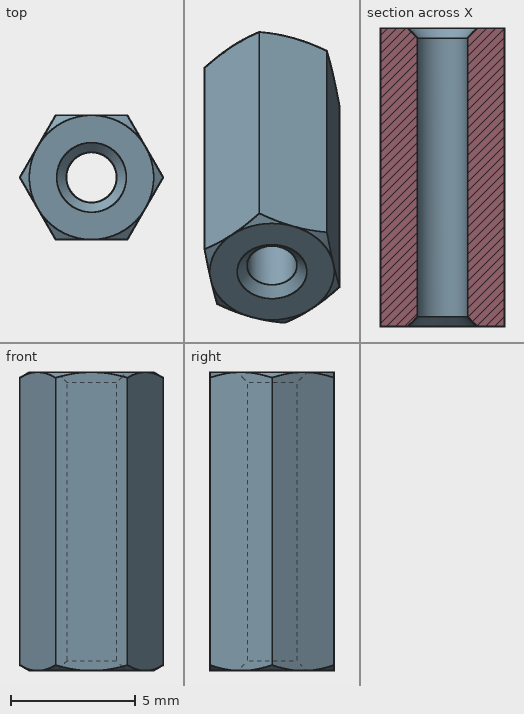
import cadquery as cq
import math

side_count = 6
across_flats = 5.0
length = 12.0
bore_diameter = 2.01
countersink_diameter = 2.8
countersink_half_angle = 45.0
corner_chamfer_angle = 30.0

flat_radius = across_flats / 2
corner_radius = flat_radius / math.cos(math.pi / side_count)
corner_drop = (corner_radius - flat_radius) * math.tan(math.radians(corner_chamfer_angle))
bore_radius = bore_diameter / 2
countersink_radius = countersink_diameter / 2
countersink_depth = (countersink_radius - bore_radius) / math.tan(math.radians(countersink_half_angle))


def turned_body(end_radius, middle_radius, cone_height):
    """Full-length body turned about Z: a cylinder with the same cone at each end."""
    profile = (
        cq.Workplane("XZ")
        .lineTo(end_radius, 0)
        .lineTo(middle_radius, cone_height)
        .lineTo(middle_radius, length - cone_height)
        .lineTo(end_radius, length)
        .lineTo(0, length)
        .close()
    )
    return profile.revolve(360, (0, 0, 0), (0, 1, 0))


def hex_bar():
    """Hexagonal bar along Z with two opposite corners on the X axis."""
    return cq.Workplane("XY").polygon(side_count, 2 * corner_radius).extrude(length)


def chamfered_hex():
    """Hexagonal bar with its corners cut to a cone at both ends."""
    corner_envelope = turned_body(flat_radius, corner_radius, corner_drop)
    return hex_bar().intersect(corner_envelope)


def countersunk_bore():
    """Cutter for the through bore with a countersink at each end."""
    return turned_body(countersink_radius, bore_radius, countersink_depth)


result = chamfered_hex().cut(countersunk_bore())